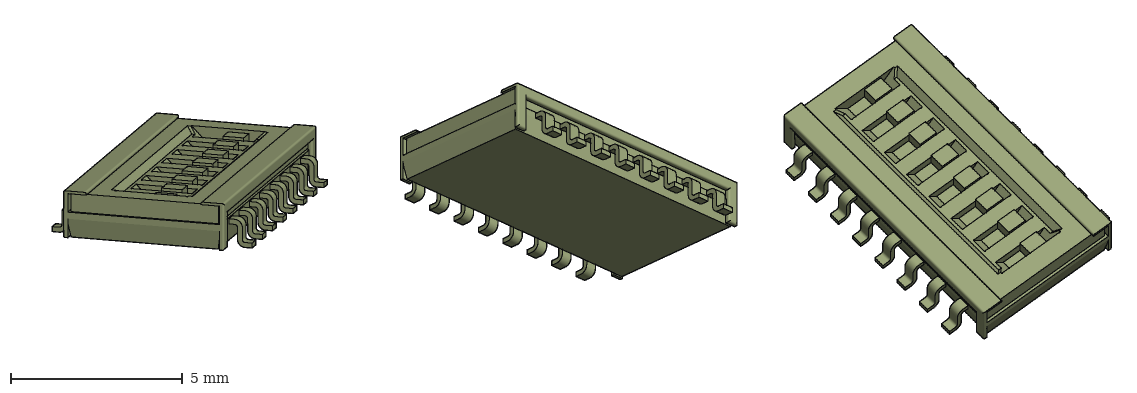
import cadquery as cq
import math

length = 9.0
pole_count = 8
pitch = 1.0

band_width = 4.68
band_bottom = 0.66
band_top = 0.86
upper_inset = 0.09
housing_bottom = 0.09
housing_top = 1.42
lower_draft = 10.0

well_width = 2.45
well_length = 7.4
well_depth = 0.19
wall_slope = 45.0
slot_width = 0.5
slot_floor_length = 1.27
slot_floor = 0.94
knob_length = 0.63
knob_top = 1.32

cover_half_width = 2.46
cover_top = 1.5
cover_thickness = 0.14
flange_thickness = cover_top - housing_top
flange_end = 1.75
cover_edge_radius = 0.06
window_length = 8.28
window_top = 1.15

lead_width = 0.36
lead_thickness = 0.15
lead_root = 2.25
lead_tip = 3.05
lead_shank = 2.75
lead_top = 0.83
lead_inner_radius = 0.08
lead_outer_radius = lead_inner_radius + lead_thickness

pole_positions = [(i - (pole_count - 1) / 2) * pitch for i in range(pole_count)]


def box(x_min, x_max, y_size, z_min, z_max):
    """Block centred on Y = 0."""
    return cq.Workplane("XY").box(
        x_max - x_min, y_size, z_max - z_min, centered=(False, True, False)
    ).translate((x_min, 0, z_min))


def make_housing():
    half_band = band_width / 2
    band = box(-half_band, half_band, length, band_bottom, band_top)
    half_upper = half_band - upper_inset
    upper = box(-half_upper, half_upper, length - 2 * upper_inset, band_top, housing_top)
    lower = (
        cq.Workplane("XY", origin=(0, 0, band_bottom))
        .rect(band_width, length)
        .extrude(housing_bottom - band_bottom, taper=lower_draft)
    )
    return band.union(upper).union(lower)


def make_well():
    """Shallow recess with walls sloping inwards towards its floor."""
    return (
        cq.Workplane("XY", origin=(0, 0, housing_top))
        .rect(well_width, well_length)
        .extrude(-well_depth, taper=wall_slope)
    )


def make_slot():
    """Slot with sloping ends, running up to the housing top."""
    half_floor = slot_floor_length / 2
    height = housing_top - slot_floor
    half_mouth = half_floor + height * math.tan(math.radians(wall_slope))
    return (
        cq.Workplane("XZ", origin=(0, slot_width / 2, 0))
        .polyline([
            (-half_floor, slot_floor),
            (half_floor, slot_floor),
            (half_mouth, housing_top),
            (-half_mouth, housing_top),
        ])
        .close()
        .extrude(slot_width)
    )


def make_cover():
    """Angle-shaped cover on the +X side with a window for the leads."""
    inner_face = cover_half_width - cover_thickness
    side = box(inner_face, cover_half_width, length, housing_bottom, cover_top)
    flange = box(flange_end, cover_half_width, length, cover_top - flange_thickness, cover_top)
    window = box(inner_face, cover_half_width, window_length, housing_bottom, window_top)
    cover = side.union(flange).cut(window)
    flange_edge = cq.selectors.NearestToPointSelector((flange_end, 0, cover_top))
    cover = cover.faces(">X").edges().fillet(cover_edge_radius)
    return cover.edges(flange_edge).fillet(cover_edge_radius)


def make_lead():
    """Gull-wing lead on the +X side, bent down and then outwards."""
    shank_inner = lead_shank - lead_thickness
    profile = (
        cq.Workplane("XZ", origin=(0, lead_width / 2, 0))
        .moveTo(lead_root, lead_top)
        .lineTo(lead_shank - lead_outer_radius, lead_top)
        .radiusArc((lead_shank, lead_top - lead_outer_radius), lead_outer_radius)
        .lineTo(lead_shank, lead_outer_radius)
        .radiusArc((lead_shank + lead_inner_radius, lead_thickness), -lead_inner_radius)
        .lineTo(lead_tip, lead_thickness)
        .lineTo(lead_tip, 0)
        .lineTo(shank_inner + lead_outer_radius, 0)
        .radiusArc((shank_inner, lead_outer_radius), lead_outer_radius)
        .lineTo(shank_inner, lead_top - lead_outer_radius)
        .radiusArc((shank_inner - lead_inner_radius, lead_top - lead_thickness), -lead_inner_radius)
        .lineTo(lead_root, lead_top - lead_thickness)
        .close()
    )
    return profile.extrude(lead_width)


result = make_housing().cut(make_well())
slot = make_slot()
knob = box(0, knob_length, slot_width, slot_floor, knob_top)
for y in pole_positions:
    result = result.cut(slot.translate((0, y, 0))).union(knob.translate((0, y, 0)))

cover = make_cover()
result = result.union(cover).union(cover.mirror("YZ"))

lead = make_lead()
opposite_lead = lead.mirror("YZ")
for y in pole_positions:
    result = result.union(lead.translate((0, y, 0))).union(opposite_lead.translate((0, y, 0)))